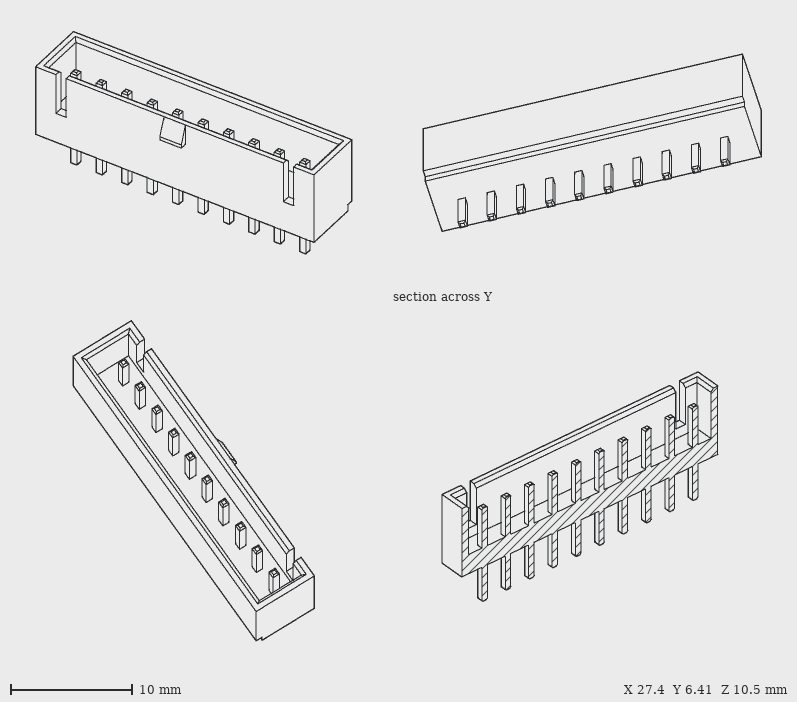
import cadquery as cq

LENGTH = 27.4
DEPTH = 5.78
HEIGHT = 7.0
FRONT_Y = -DEPTH / 2
BACK_Y = DEPTH / 2

STEP_DEPTH = 0.6
STEP_HEIGHT = 0.65

SIDE_WALL = 0.77
FRONT_WALL = 0.8
BACK_WALL = 0.82
RIM = 0.5
FLARE_HEIGHT = 0.3
FLOOR_Z = 2.0
CAVITY_FRONT_Y = FRONT_Y + FRONT_WALL
CAVITY_BACK_Y = BACK_Y - BACK_WALL

SLOT_WIDTH = 1.01
SLOT_DROP = 4.0
SLOT_END_GAP = 2.0
SLOT_X = LENGTH / 2 - SLOT_END_GAP - SLOT_WIDTH / 2

LATCH_WIDTH = 2.1
LATCH_REACH = 0.63
LATCH_DROP = 2.0
LATCH_RAMP_DROP = 1.67

PIN_COUNT = 10
PIN_END_GAP = 2.45
PIN_PITCH = (LENGTH - 2 * PIN_END_GAP) / (PIN_COUNT - 1)
PIN_SIZE = 0.63
PIN_FRONT_GAP = 2.38
PIN_Y = FRONT_Y + PIN_FRONT_GAP
PIN_BELOW = 3.5
PIN_TOP_DROP = 0.95
TIP_CHAMFER = 0.15


def rectangle_at(z, x_half, y_min, y_max):
    """Rectangle on a horizontal plane, symmetric in X."""
    return (
        cq.Workplane("XY", origin=(0, (y_min + y_max) / 2, z))
        .rect(2 * x_half, y_max - y_min)
    )


def make_block():
    """Plain housing with the step along its lower back edge."""
    profile = [
        (FRONT_Y, 0),
        (BACK_Y - STEP_DEPTH, 0),
        (BACK_Y - STEP_DEPTH, STEP_HEIGHT),
        (BACK_Y, STEP_HEIGHT),
        (BACK_Y, HEIGHT),
        (FRONT_Y, HEIGHT),
    ]
    return cq.Workplane("YZ").polyline(profile).close().extrude(LENGTH / 2, both=True)


def make_cavity():
    """Straight pocket plus the flared mouth."""
    x_half = LENGTH / 2 - SIDE_WALL
    pocket = rectangle_at(FLOOR_Z, x_half, CAVITY_FRONT_Y, CAVITY_BACK_Y).extrude(HEIGHT - FLOOR_Z)
    pocket_center_y = (CAVITY_FRONT_Y + CAVITY_BACK_Y) / 2
    flare = (
        rectangle_at(HEIGHT - FLARE_HEIGHT, x_half, CAVITY_FRONT_Y, CAVITY_BACK_Y)
        .workplane(offset=FLARE_HEIGHT)
        .center(0, -pocket_center_y)
        .rect(LENGTH - 2 * RIM, DEPTH - 2 * RIM)
        .loft(ruled=True)
    )
    return pocket.union(flare)


def make_slots():
    """One slot near each end of the front wall."""
    return (
        cq.Workplane("XY", origin=(0, FRONT_Y + FRONT_WALL / 2, HEIGHT - SLOT_DROP))
        .pushPoints([(-SLOT_X, 0), (SLOT_X, 0)])
        .rect(SLOT_WIDTH, FRONT_WALL)
        .extrude(SLOT_DROP)
    )


def make_latch():
    """Wedge that grows outward from the top edge down to a flat lip."""
    profile = [
        (FRONT_Y, HEIGHT),
        (FRONT_Y, HEIGHT - LATCH_DROP),
        (FRONT_Y - LATCH_REACH, HEIGHT - LATCH_DROP),
        (FRONT_Y - LATCH_REACH, HEIGHT - LATCH_RAMP_DROP),
    ]
    return cq.Workplane("YZ").polyline(profile).close().extrude(LATCH_WIDTH / 2, both=True)


def make_pin(x):
    """Square pin through the cavity floor, chamfered at both tips."""
    return (
        cq.Workplane("XY", origin=(x, PIN_Y, -PIN_BELOW))
        .rect(PIN_SIZE, PIN_SIZE)
        .extrude(PIN_BELOW + HEIGHT - PIN_TOP_DROP)
        .faces("<Z or >Z")
        .chamfer(TIP_CHAMFER)
    )


result = make_block().cut(make_cavity()).cut(make_slots()).union(make_latch())
for index in range(PIN_COUNT):
    pin_x = -LENGTH / 2 + PIN_END_GAP + index * PIN_PITCH
    result = result.union(make_pin(pin_x))